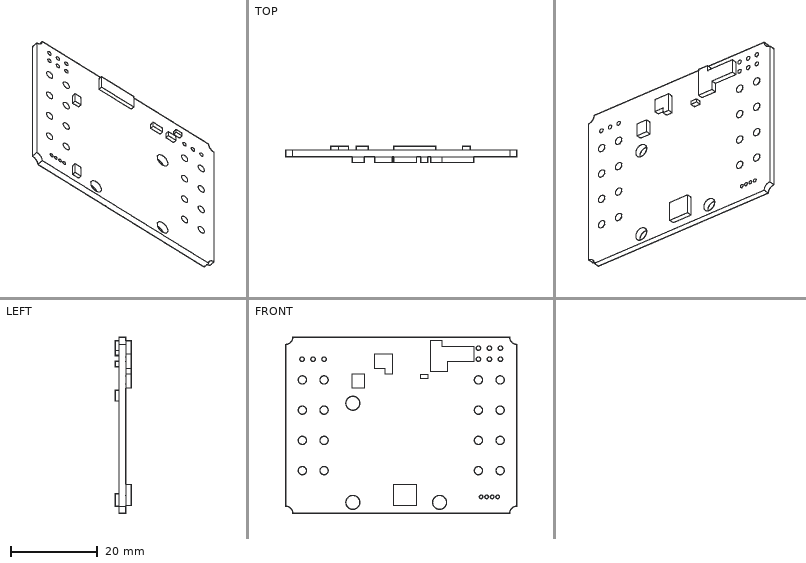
import cadquery as cq

board_width = 53.34
board_height = 40.64
board_thickness = 1.6
corner_notch_radius = 1.65

overall_depth = 3.8
back_component_height = 0.9
front_component_height = overall_depth - board_thickness - back_component_height

front_face_y = -board_thickness / 2
back_face_y = board_thickness / 2

pitch = 2.54
header_hole_diameter = 0.99
header_columns = [7 * pitch, 8 * pitch, 9 * pitch]
header_upper_z = 7 * pitch
header_lower_z = 6 * pitch

terminal_hole_diameter = 1.85
terminal_columns = [17.8, 22.8]
terminal_row_spacing = 6.97
terminal_row_count = 4

mounting_hole_diameter = 3.17
mounting_left_x = -11.16
mounting_spacing_x = 20
mounting_right_x = mounting_left_x + mounting_spacing_x
mounting_upper_z = 2 * pitch
mounting_lower_z = -7 * pitch

fine_hole_diameter = 0.8
fine_pitch = pitch / 2
fine_hole_count = 4
fine_row_center_x = 8 * pitch
fine_row_z = -6.5 * pitch

front_rectangles = [
    (-11.35, -8.51, 8.56, 11.82),
    (4.47, 6.16, 10.84, 11.69),
    (-1.73, 3.52, -18.51, -13.62),
]
back_rectangles = [
    (-1.74, 7.96, 15.92, 19.53),
    (14.1, 15.92, 5.59, 8.12),
    (14.1, 15.92, -18.7, -15.76),
    (-16.26, -14.46, 16.22, 17.19),
    (-14.46, -12.13, 13.46, 14.8),
    (-10.41, -7.56, 13.46, 14.8),
]

front_outlines = [
    [(6.75, 12.44), (10.7, 12.44), (10.7, 14.76), (16.73, 14.76),
     (16.73, 18.18), (9.36, 18.18), (9.36, 19.53), (6.75, 19.53)],
    [(-6.13, 13.13), (-3.69, 13.13), (-3.69, 11.82), (-2.02, 11.82), (-2.02, 16.39), (-6.13, 16.39)],
]


def xz_plane(y):
    """Sketch plane at depth y with X to the right, Z up and its normal along -Y."""
    return cq.Workplane("XZ", origin=(0, y, 0))


def round_cutters(diameter, centers):
    """Cylinders running through the whole board at the given (x, z) centers."""
    return xz_plane(back_face_y).pushPoints(centers).circle(diameter / 2).extrude(board_thickness)


def rectangle_corners(left, right, bottom, top):
    return [(left, bottom), (right, bottom), (right, top), (left, top)]


def component(outline, outer_y, height):
    """Flat-topped block whose rearmost face is at outer_y and which extends `height` toward -Y."""
    return xz_plane(outer_y).polyline(outline).close().extrude(height)


def make_board():
    board = xz_plane(back_face_y).rect(board_width, board_height).extrude(board_thickness)
    half_width = board_width / 2
    half_height = board_height / 2
    corners = rectangle_corners(-half_width, half_width, -half_height, half_height)
    return board.cut(round_cutters(2 * corner_notch_radius, corners))


def header_hole_centers():
    left = [(-x, header_lower_z) for x in header_columns]
    right = [(x, z) for x in header_columns for z in (header_lower_z, header_upper_z)]
    return left + right


def terminal_hole_centers():
    middle_row = (terminal_row_count - 1) / 2
    rows = [(row - middle_row) * terminal_row_spacing for row in range(terminal_row_count)]
    return [(side * x, z) for side in (-1, 1) for x in terminal_columns for z in rows]


def mounting_hole_centers():
    return [
        (mounting_left_x, mounting_upper_z),
        (mounting_left_x, mounting_lower_z),
        (mounting_right_x, mounting_lower_z),
    ]


def fine_hole_centers():
    middle = (fine_hole_count - 1) / 2
    return [(fine_row_center_x + (i - middle) * fine_pitch, fine_row_z) for i in range(fine_hole_count)]


def drill_board(board):
    board = board.cut(round_cutters(header_hole_diameter, header_hole_centers()))
    board = board.cut(round_cutters(terminal_hole_diameter, terminal_hole_centers()))
    board = board.cut(round_cutters(mounting_hole_diameter, mounting_hole_centers()))
    return board.cut(round_cutters(fine_hole_diameter, fine_hole_centers()))


def add_front_components(board):
    outlines = front_outlines + [rectangle_corners(*sides) for sides in front_rectangles]
    for outline in outlines:
        board = board.union(component(outline, front_face_y, front_component_height))
    return board


def add_back_components(board):
    outer_y = back_face_y + back_component_height
    for sides in back_rectangles:
        board = board.union(component(rectangle_corners(*sides), outer_y, back_component_height))
    return board


result = add_back_components(add_front_components(drill_board(make_board())))